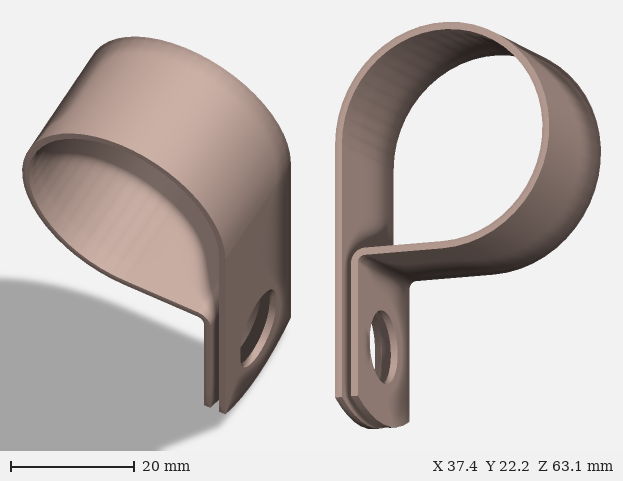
import cadquery as cq
import math

height = 63.1
width = 22.2
thickness = 1.2
ring_radius = 18.7
short_leg_face = 15.9
bend_radius = 2.4
hole_diameter = 12.0
hole_height = 12.75
slot_length = 14.5
tip_rise = 2.6

ring_center = height - ring_radius
inner_radius = ring_radius - thickness
bend_inner_radius = bend_radius - thickness
shelf_top = ring_center - inner_radius
shelf_bottom = ring_center - ring_radius
bend_x = short_leg_face - bend_radius
bend_z = shelf_top - bend_radius
diagonal = math.sqrt(0.5)


def strap():
    """Bent strip: long leg, three-quarter ring, shelf, bend and short leg."""
    return (
        cq.Workplane("XZ")
        .moveTo(ring_radius, 0)
        .lineTo(ring_radius, ring_center)
        .threePointArc(
            (-ring_radius * diagonal, ring_center + ring_radius * diagonal),
            (0, shelf_bottom),
        )
        .lineTo(bend_x, shelf_bottom)
        .threePointArc(
            (bend_x + bend_inner_radius * diagonal, bend_z + bend_inner_radius * diagonal),
            (bend_x + bend_inner_radius, bend_z),
        )
        .lineTo(short_leg_face - thickness, 0)
        .lineTo(short_leg_face, 0)
        .lineTo(short_leg_face, bend_z)
        .threePointArc(
            (bend_x + bend_radius * diagonal, bend_z + bend_radius * diagonal),
            (bend_x, shelf_top),
        )
        .lineTo(0, shelf_top)
        .threePointArc(
            (-inner_radius * diagonal, ring_center + inner_radius * diagonal),
            (inner_radius, ring_center),
        )
        .lineTo(inner_radius, 0)
        .close()
        .extrude(width / 2, both=True)
    )


def side_envelope():
    """Side outline with rounded leg tips, as a block spanning the whole ring in X."""
    return (
        cq.Workplane("YZ")
        .moveTo(-width / 2, height)
        .lineTo(-width / 2, tip_rise)
        .threePointArc((0, 0), (width / 2, tip_rise))
        .lineTo(width / 2, height)
        .close()
        .extrude(ring_radius, both=True)
    )


def bolt_hole():
    """Round hole cutter running through both legs."""
    return (
        cq.Workplane("YZ")
        .center(0, hole_height)
        .circle(hole_diameter / 2)
        .extrude(ring_radius)
    )


def adjustment_slot():
    """Upright slot cutter running through the long leg only."""
    return (
        cq.Workplane("YZ", origin=(inner_radius, 0, 0))
        .center(0, hole_height)
        .slot2D(slot_length, hole_diameter, 90)
        .extrude(thickness)
    )


result = (
    strap()
    .intersect(side_envelope())
    .cut(bolt_hole())
    .cut(adjustment_slot())
)